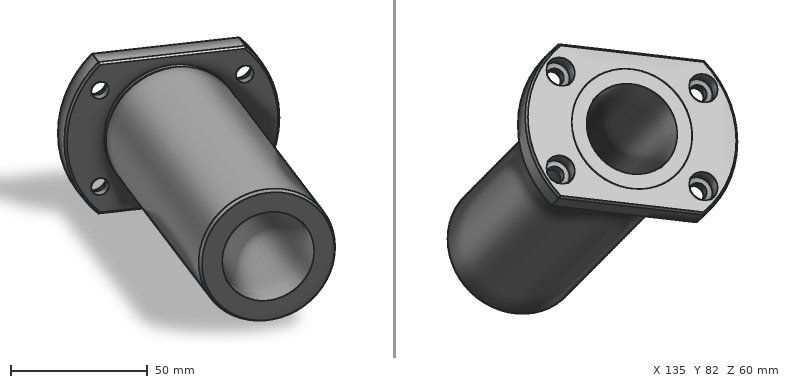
import cadquery as cq

total_length = 135.0
body_diameter = 52.0
bore_diameter = 35.0
end_chamfer_length = 1.6
end_chamfer_depth = 0.8

flange_diameter = 82.0
flange_height = 60.0
flange_thickness = 10.0
flange_chamfer = 0.8

groove_width = 2.3
groove_depth = 0.7

ring_diameter = 46.5
ring_depth = 0.1

hole_diameter = 6.6
counterbore_diameter = 11.0
counterbore_depth = 6.1
hole_spacing_y = 55.1
hole_spacing_z = 38.1


def cylinder_x(diameter, start, length):
    """Solid cylinder along +X, starting at the given X."""
    return cq.Workplane("YZ", origin=(start, 0, 0)).circle(diameter / 2).extrude(length)


def make_flange():
    disc = cylinder_x(flange_diameter, 0, flange_thickness)
    flats = cq.Workplane("XY").box(total_length, total_length, flange_height)
    return disc.intersect(flats).faces("<X or >X").edges().chamfer(flange_chamfer)


def make_sleeve():
    """Turned body with the relief groove behind the flange and a chamfered far end."""
    body_radius = body_diameter / 2
    groove_bottom = (flange_thickness + groove_width / 2, body_radius - groove_depth)
    groove_end = (flange_thickness + groove_width, body_radius)
    return (
        cq.Workplane("XY")
        .moveTo(0, 0)
        .lineTo(0, body_radius)
        .lineTo(flange_thickness, body_radius)
        .threePointArc(groove_bottom, groove_end)
        .lineTo(total_length - end_chamfer_length, body_radius)
        .lineTo(total_length, body_radius - end_chamfer_depth)
        .lineTo(total_length, 0)
        .close()
        .revolve(360, (0, 0, 0), (1, 0, 0))
    )


def make_holes(diameter, depth):
    """The four mounting holes, cut inward from the flange face."""
    return (
        cq.Workplane("YZ")
        .rect(hole_spacing_y, hole_spacing_z, forConstruction=True)
        .vertices()
        .circle(diameter / 2)
        .extrude(depth)
    )


result = (
    make_flange()
    .union(make_sleeve())
    .cut(cylinder_x(bore_diameter, 0, total_length))
    .cut(cylinder_x(ring_diameter, 0, ring_depth))
    .cut(make_holes(hole_diameter, flange_thickness))
    .cut(make_holes(counterbore_diameter, counterbore_depth))
)